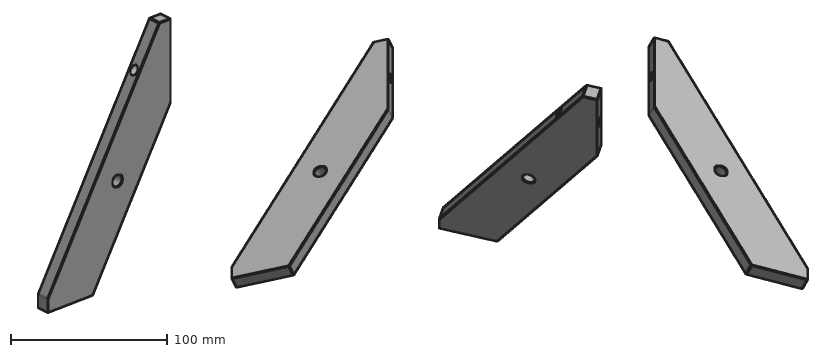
import cadquery as cq
import math

thickness = 10.0
width = 105.8
height = 176.0

lean_angle = math.radians(60)
tip_width = 10.0
back_edge_height = 60.2
edge_break = 0.5

cross_hole_diameter = 8.0
cross_hole_y = 59.8
cross_hole_z = 75.0
cross_hole_chamfer = 0.5

edge_hole_diameter = 6.0
edge_hole_drop = 30.0


def make_plate():
    """Leaning six-sided plate, centred on X = 0, with all edges broken."""
    slope = math.tan(lean_angle)
    back_corner_z = height - back_edge_height
    foot_start_y = width - back_corner_z / slope
    front_corner_z = height - (width - tip_width) * slope
    outline = [
        (0, 0),
        (foot_start_y, 0),
        (width, back_corner_z),
        (width, height),
        (width - tip_width, height),
        (0, front_corner_z),
    ]
    plate = cq.Workplane("YZ").polyline(outline).close().extrude(thickness / 2, both=True)
    return plate.edges().chamfer(edge_break)


def make_cross_hole():
    """Cutter for the cross hole, flared at both mouths."""
    radius = cross_hole_diameter / 2
    mouth_radius = radius + cross_hole_chamfer
    half = thickness / 2
    profile = [
        (-half, 0),
        (-half, mouth_radius),
        (-half + cross_hole_chamfer, radius),
        (half - cross_hole_chamfer, radius),
        (half, mouth_radius),
        (half, 0),
    ]
    cutter = cq.Workplane("XY").polyline(profile).close().revolve(360, (0, 0), (1, 0))
    return cutter.translate((0, cross_hole_y, cross_hole_z))


def make_edge_hole():
    """Cutter for the plain edge hole, spanning the full width."""
    cutter = cq.Workplane("XZ").circle(edge_hole_diameter / 2).extrude(-width)
    return cutter.translate((0, 0, height - edge_hole_drop))


result = make_plate().cut(make_cross_hole()).cut(make_edge_hole())